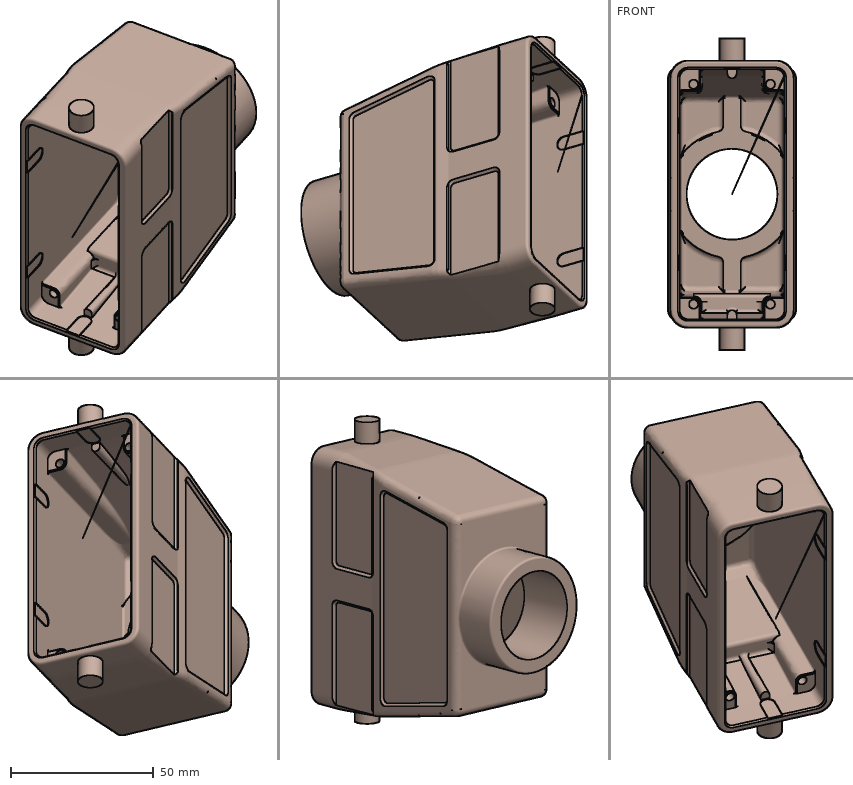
import cadquery as cq
import math


mouth_end = 11.2
shoulder = 32.3
flare_start = 31.8
flare_end = 37.0
end_blend = 1.4
flare_blend = 1.0
body_end = 76.0
overall_length = 92.0

mouth_width = 43.2
body_width = 45.0
mouth_height = 93.8
shoulder_height = 89.4
body_draft = math.tan(math.radians(11.0))
mouth_corner = 6.0
body_corner = 2.8
end_fillet = 2.6
wall = 3.0
rim_outer_round = 1.0
rim_inner_chamfer = 0.6

cavity_mouth_width = 36.8
cavity_floor_width = 35.6
cavity_floor_y = body_end - wall
cavity_floor_corner = 2.4
cavity_bend_start = 10.2
cavity_bend_end = 15.0

collar_diameter = 42.0
collar_edge_round = 0.8
collar_root_fillet = 0.7
bore_diameter = 31.8
pad_diameter = 45.0
pad_thickness = 3.0
pad_rib_width = 6.2
pad_inner_round = 2.0
pad_edge_round = 0.5
pad_root_fillet = 1.9
pad_end_fillet = 0.8

pin_diameter = 8.8
pin_y = 6.2
pin_span = 109.5
pin_embed = 1.0

panel_depth = 1.0
panel_corner = 2.6
label_front_y = 36.8
label_back_y = 71.4
label_margin = 4.2
grip_front_y = 11.3
grip_back_y = 32.5
grip_gap = 11.4

post_front_y = 9.7
post_inner_x = 11.1
post_inner_z = 36.2
post_corner = 2.7
post_draft = 1.0
post_hole_x = 13.5
post_hole_z = 38.6
post_hole_diameter = 3.2
post_hole_depth = 12.0
post_root_fillet = 0.7
post_front_chamfer = 0.4

guide_front_y = 10.7
guide_width = 3.2
guide_tip_z = 40.7
shelf_y = 33.0
shelf_width = 27.0
shelf_top_z = 34.9
shelf_edge_round = 1.6
shelf_root_fillet = 1.4
shelf_side_fillet = 1.8
shelf_guide_fillet = 1.2

pick_tolerance = 0.12

groove_width = 5.3
groove_length = 10.6
groove_depth = 0.25
groove_z = 24.0


def interpolate(knots, y):
    """Value at y on the straight segments through a list of (y, value) knots."""
    for (y0, value0), (y1, value1) in zip(knots, knots[1:]):
        if y <= y1:
            return value0 + (value1 - value0) * (y - y0) / (y1 - y0)
    return knots[-1][1]


def shell_height(y):
    body_end_height = shoulder_height - 2 * body_draft * (body_end - shoulder)
    knots = [
        (0, mouth_height),
        (mouth_end, mouth_height),
        (shoulder, shoulder_height),
        (body_end, body_end_height),
    ]
    return interpolate(knots, y)


def shell_width(y):
    return interpolate([(0, mouth_width), (flare_start, mouth_width), (flare_end, body_width)], y)


def shell_corner(y):
    return interpolate([(0, mouth_corner), (mouth_end, mouth_corner), (shoulder, body_corner)], y)


def cavity_height(y):
    return shell_height(y) - 2 * wall


def cavity_width(y):
    return interpolate([(0, cavity_mouth_width), (cavity_floor_y, cavity_floor_width)], y)


def cavity_corner(y):
    mouth_inner_corner = mouth_corner - wall
    knots = [(0, mouth_inner_corner), (mouth_end, mouth_inner_corner), (shoulder, cavity_floor_corner)]
    return interpolate(knots, y)


def section(width, height, corner, y):
    """Rounded rectangle standing across the Y axis at depth y."""
    outline = cq.Sketch().rect(width, height).vertices().fillet(corner)
    return outline.moved(cq.Location(cq.Vector(0, 0, -y)))


def loft_through(stations):
    """Solid with straight walls through a list of (width, height, corner, y) stations."""
    solid = None
    for start, end in zip(stations, stations[1:]):
        piece = cq.Workplane("XZ").placeSketch(section(*start), section(*end)).loft(ruled=True)
        solid = piece if solid is None else solid.union(piece)
    return solid


def cylinder_y(diameter, y_start, y_end, x=0.0, z=0.0):
    return cq.Workplane("XZ", origin=(x, y_start, z)).circle(diameter / 2).extrude(y_start - y_end)


def box(x_range, y_range, z_range):
    (x0, x1), (y0, y1), (z0, z1) = x_range, y_range, z_range
    return cq.Workplane("XY").box(x1 - x0, y1 - y0, z1 - z0, centered=False).translate((x0, y0, z0))


def make_shell():
    stations = [
        0,
        mouth_end - end_blend,
        mouth_end + end_blend,
        shoulder - end_blend,
        flare_start,
        shoulder + end_blend,
        flare_end - flare_blend,
        flare_end + flare_blend,
        body_end,
    ]
    shell = loft_through([(shell_width(y), shell_height(y), shell_corner(y), y) for y in stations])
    shell = shell.faces(">Y").edges().fillet(end_fillet)
    return shell.faces("<Y").edges().fillet(rim_outer_round)


def make_cavity():
    stations = [0, cavity_bend_start, cavity_bend_end, shoulder, cavity_floor_y]
    cavity = loft_through([(cavity_width(y), cavity_height(y), cavity_corner(y), y) for y in stations])
    rim = rim_inner_chamfer
    flare = loft_through([
        (cavity_width(0) + 2 * rim, cavity_height(0) + 2 * rim, cavity_corner(0) + rim, 0),
        (cavity_width(0), cavity_height(0), cavity_corner(0), rim),
    ])
    return cavity.union(flare)


def make_floor_pad():
    """Ring around the cable opening with a rib reaching to each end of the cavity."""
    pad_y = cavity_floor_y - pad_thickness
    depth = pad_thickness + wall / 2
    pad = cylinder_y(pad_diameter, pad_y, pad_y + depth)
    rib_outline = cq.Workplane("XZ", origin=(0, pad_y, 0)).rect(pad_rib_width, shell_height(body_end))
    pad = pad.union(rib_outline.extrude(-depth))
    inner_corners = cq.selectors.BoxSelector(
        (-pad_rib_width, pad_y - pad_thickness, -pad_diameter / 2),
        (pad_rib_width, pad_y + depth + pad_thickness, pad_diameter / 2),
    )
    pad = pad.edges("|Y").edges(inner_corners).fillet(pad_inner_round)
    return pad.faces("<Y").edges().fillet(pad_edge_round)


def make_post(side_x, side_z):
    """Drafted screw post filling one corner of the cavity."""
    width = body_width / 2 - post_inner_x
    height = mouth_height / 2 - post_inner_z
    length = cavity_floor_y - post_front_y
    growth = length * math.tan(math.radians(post_draft))
    x_mid = side_x * (post_inner_x + width / 2)
    z_mid = side_z * (post_inner_z + height / 2)
    front = section(width, height, post_corner, post_front_y)
    back = section(width + 2 * growth, height + 2 * growth, post_corner, cavity_floor_y)
    return cq.Workplane("XZ", origin=(x_mid, 0, z_mid)).placeSketch(front, back).loft(ruled=True)


def make_guide(side_z):
    """Round-topped guide rib on one end wall."""
    radius = guide_width / 2
    base_z = mouth_height / 2
    profile = (
        cq.Workplane("XZ", origin=(0, guide_front_y, 0))
        .moveTo(-radius, side_z * base_z)
        .lineTo(-radius, side_z * (guide_tip_z + radius))
        .threePointArc((0, side_z * guide_tip_z), (radius, side_z * (guide_tip_z + radius)))
        .lineTo(radius, side_z * base_z)
        .close()
    )
    return profile.extrude(guide_front_y - cavity_floor_y)


def make_pad_fillets():
    """Fillets between the flat top of the floor pad and the cavity walls it runs into."""
    pad_y = cavity_floor_y - pad_thickness
    start_y = pad_y - 2 * pad_end_fillet
    start = (cavity_width(start_y), cavity_height(start_y), cavity_floor_corner, start_y)
    end = (cavity_width(pad_y), cavity_height(pad_y), cavity_floor_corner, pad_y)
    above_pad = loft_through([start, end])
    filleted = above_pad.faces(">Y").edges().fillet(pad_end_fillet)
    ring = cylinder_y(pad_diameter - 2 * pad_edge_round, start_y, pad_y)
    rib_width = pad_rib_width - 2 * pad_edge_round
    rib = box((-rib_width / 2, rib_width / 2), (start_y, pad_y), (-mouth_height / 2, mouth_height / 2))
    return above_pad.cut(filleted).intersect(ring.union(rib))


def make_shelf():
    """Step between the lower posts, blended into the sloping end wall below it."""
    floor_z = -cavity_height(shelf_y) / 2
    slope = math.atan2((mouth_height - shoulder_height) / 2, shoulder - mouth_end)
    tangent_length = shelf_root_fillet / math.tan((math.pi / 2 + slope) / 2)
    face_point = (shelf_y, floor_z + tangent_length)
    floor_point = (
        shelf_y - tangent_length * math.cos(slope),
        floor_z - tangent_length * math.sin(slope),
    )
    outline = (
        cq.Workplane("YZ", origin=(-shelf_width / 2, 0, 0))
        .moveTo(cavity_floor_y, -shelf_top_z)
        .lineTo(shelf_y + shelf_edge_round, -shelf_top_z)
        .tangentArcPoint((shelf_y, -shelf_top_z - shelf_edge_round), relative=False)
        .lineTo(*face_point)
        .tangentArcPoint(floor_point, relative=False)
        .lineTo(floor_point[0], -mouth_height / 2)
        .lineTo(cavity_floor_y, -mouth_height / 2)
        .close()
    )
    return outline.extrude(shelf_width)


def make_shelf_side_fillet(side_x):
    """Upright fillet where the shelf face meets the inner side of a post."""
    top_z = -(post_inner_z + shelf_edge_round)
    post_x = post_inner_x - (shelf_y - post_front_y) * math.tan(math.radians(post_draft))
    mid_offset = shelf_side_fillet * (1 - math.sqrt(0.5))
    outline = (
        cq.Workplane("XY", origin=(0, 0, -mouth_height / 2))
        .moveTo(side_x * post_inner_x, shelf_y + shelf_edge_round)
        .lineTo(side_x * (post_x - shelf_side_fillet), shelf_y + shelf_edge_round)
        .lineTo(side_x * (post_x - shelf_side_fillet), shelf_y)
        .threePointArc(
            (side_x * (post_x - mid_offset), shelf_y - mid_offset),
            (side_x * post_x, shelf_y - shelf_side_fillet),
        )
        .lineTo(side_x * post_inner_x, shelf_y - shelf_side_fillet)
        .close()
    )
    return outline.extrude(top_z + mouth_height / 2)


def edges_across(y):
    """Selector for edges whose centre lies at depth y."""
    reach = mouth_height
    return cq.selectors.BoxSelector(
        (-reach, y - pick_tolerance, -reach),
        (reach, y + pick_tolerance, reach),
    )


def make_lower_guide():
    """Lower guide rib blended into the face of the shelf."""
    half_block = guide_width / 2 + 2 * shelf_guide_fillet
    block_top = -guide_tip_z + 2 * shelf_guide_fillet
    block = box((-half_block, half_block), (shelf_y, cavity_floor_y), (-mouth_height / 2, block_top))
    guide = block.union(make_guide(-1))
    guide_outline = cq.selectors.BoxSelector(
        (-guide_width, shelf_y - pick_tolerance, -mouth_height / 2 + pick_tolerance),
        (guide_width, shelf_y + pick_tolerance, -guide_tip_z + pick_tolerance),
    )
    return guide.edges(guide_outline).fillet(shelf_guide_fillet)


def is_post_root(edge):
    """True for an edge where the inner side of a post meets an end wall of the cavity."""
    center = edge.Center()
    on_end_wall = abs(abs(center.z) - cavity_height(center.y) / 2) < pick_tolerance
    beside_post = abs(abs(center.x) - post_inner_x) < post_corner / 2
    return on_end_wall and beside_post and center.y > post_front_y + pick_tolerance


def is_post_front(edge):
    """True for an edge of a post's front face that does not lie on a cavity wall."""
    center = edge.Center()
    inside_x = abs(center.x) < cavity_mouth_width / 2 - wall / 2
    inside_z = abs(center.z) < cavity_height(post_front_y) / 2 - wall / 2
    return abs(center.y - post_front_y) < pick_tolerance / 2 and inside_x and inside_z


def make_void():
    """Hollow inside of the hood: the cavity less everything that stands in it."""
    void = make_cavity()
    for side_x in (-1, 1):
        for side_z in (-1, 1):
            void = void.cut(make_post(side_x, side_z))
    void = void.newObject(list(filter(is_post_root, void.edges().vals()))).fillet(post_root_fillet)
    void = void.newObject(list(filter(is_post_front, void.edges().vals()))).chamfer(post_front_chamfer)
    void = void.cut(make_shelf()).cut(make_lower_guide()).cut(make_guide(1))
    void = void.cut(make_floor_pad())
    for side_x in (-1, 1):
        void = void.cut(make_shelf_side_fillet(side_x))
    void = void.faces(">Y").edges().fillet(pad_root_fillet)
    return void.cut(make_pad_fillets())


def make_label_panel(side_x):
    """Tapered cutter for the trapezoid panel on one side of the body."""
    front_half = shell_height(label_front_y) / 2 - label_margin
    back_half = shell_height(label_back_y) / 2 - label_margin
    points = [
        (label_front_y, -front_half),
        (label_back_y, -back_half),
        (label_back_y, back_half),
        (label_front_y, front_half),
    ]
    outline = cq.Sketch().polygon(points + points[:1]).vertices().fillet(panel_corner)
    cutter = cq.Workplane("YZ").placeSketch(outline).extrude(panel_depth, taper=45)
    cutter = cutter.translate((-body_width / 2, 0, 0))
    return cutter if side_x < 0 else cutter.mirror("YZ")


def make_grip_panel(side_x, side_z):
    """Tapered cutter for one grip panel, running out through the rounded corner."""
    reach = mouth_height
    outline = (
        cq.Sketch()
        .rect(grip_back_y - grip_front_y, reach)
        .vertices()
        .fillet(panel_corner)
    )
    cutter = cq.Workplane("YZ").placeSketch(outline).extrude(panel_depth, taper=45)
    y_mid = (grip_front_y + grip_back_y) / 2
    cutter = cutter.translate((-mouth_width / 2, y_mid, (grip_gap + reach) / 2))
    if side_x > 0:
        cutter = cutter.mirror("YZ")
    return cutter if side_z > 0 else cutter.mirror("XY")


def make_relief_groove():
    """Round-ended bar along Y, centred on the XY plane."""
    straight = groove_length - groove_width / 2
    bar = box((-groove_width / 2, groove_width / 2), (0, straight), (-groove_depth, groove_depth))
    tip = cq.Workplane("XY").center(0, straight).circle(groove_width / 2).extrude(groove_depth, both=True)
    return bar.union(tip)


def cut_relief_grooves(body):
    groove = make_relief_groove()
    upright = groove.rotate((0, 0, 0), (0, 1, 0), 90)
    for side in (-1, 1):
        body = body.cut(groove.translate((0, 0, side * cavity_height(0) / 2)))
        for z in (-groove_z, groove_z):
            body = body.cut(upright.translate((side * cavity_width(0) / 2, 0, z)))
    return body


def make_collar():
    collar = cylinder_y(collar_diameter, cavity_floor_y, overall_length)
    return collar.faces(">Y").edges().fillet(collar_edge_round)


def add_collar(shell):
    """Collar on the end face of the shell, with a fillet around its root."""
    body = shell.union(make_collar())
    return body.edges(edges_across(body_end)).edges("%CIRCLE").fillet(collar_root_fillet)


def add_pins(body):
    root = cavity_height(0) / 2 + pin_embed
    for side_z in (-1, 1):
        pin = cq.Workplane("XY", origin=(0, pin_y, side_z * root)).circle(pin_diameter / 2)
        body = body.union(pin.extrude(side_z * (pin_span / 2 - root)))
    return body


def cut_post_holes(body):
    hole_end = post_front_y + post_hole_depth
    for x in (-post_hole_x, post_hole_x):
        for z in (-post_hole_z, post_hole_z):
            body = body.cut(cylinder_y(post_hole_diameter, post_front_y, hole_end, x, z))
    return body


def make_hood():
    body = add_collar(make_shell())
    for side_x in (-1, 1):
        body = body.cut(make_label_panel(side_x))
        for side_z in (-1, 1):
            body = body.cut(make_grip_panel(side_x, side_z))
    body = body.cut(make_void())
    body = body.cut(cylinder_y(bore_diameter, cavity_floor_y - 2 * pad_thickness, overall_length))
    body = cut_post_holes(body)
    body = cut_relief_grooves(body)
    return add_pins(body)


result = make_hood()